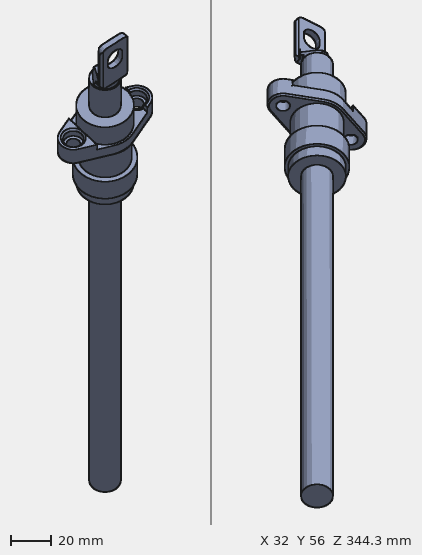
import cadquery as cq
import math

TOTAL_HEIGHT = 344.3
RING_BOTTOM = 229.5
SLEEVE_BOTTOM = 236.2
SLEEVE_TOP = 249.3
FLANGE_BOTTOM = 268.2
FLANGE_TOP = 275.8
EAR_TOP = 279.5
COLLAR_TOP = 289.2
ROD_TOP = 310.2

ROD_DIAMETER = 16.0
RING_DIAMETER = 28.5
SLEEVE_DIAMETER = 32.0
BODY_DIAMETER = 26.5
COLLAR_DIAMETER = 28.5

FLANGE_LENGTH = 56.0
HUB_RADIUS = 15.5
EAR_OFFSET = 20.3
EAR_RADIUS = FLANGE_LENGTH / 2 - EAR_OFFSET
HOLE_DIAMETER = 7.0
COUNTERBORE_DIAMETER = 10.5
COUNTERBORE_CHAMFER = 1.0
COUNTERBORE_FLOOR = 274.8
FRONT_EAR_START = 14.0
FLANGE_CHAMFER = 0.85

LUG_THICKNESS = 3.5
LUG_WIDTH = 18.0
LUG_OUTER_X = ROD_DIAMETER / 2
LUG_INNER_X = LUG_OUTER_X - LUG_THICKNESS
LUG_BOTTOM = 314.5
LUG_TOP_RADIUS = 4.0
LUG_BOTTOM_CHAMFER = 2.0
LUG_EDGE_CHAMFER = 1.2
SLOT_WIDTH = 9.3
SLOT_HEIGHT = 12.5
SLOT_CENTER_Z = 332.2

NECK_RADIUS = 7.2
NECK_SHOULDER_Z = 312.0
BEND_Z = 321.0
NECK_CROWN = (-4.8, 314.7)
BEND_START = (0.7, 316.8)
CREASE_HALF_WIDTH = 2.5
FACET_BASE_Z = 310.5
FACET_TOP_Z = 318.5


def disc(diameter, bottom, top):
    """Cylinder on the Z axis between two heights."""
    return cq.Workplane("XY").workplane(offset=bottom).circle(diameter / 2).extrude(top - bottom)


def flange_outline(bottom, top):
    """Diamond plate: hub arc and two ear arcs joined by tangent flanks."""
    sine = (HUB_RADIUS - EAR_RADIUS) / EAR_OFFSET
    cosine = math.sqrt(1 - sine**2)
    hub_x, hub_y = HUB_RADIUS * cosine, HUB_RADIUS * sine
    ear_x, ear_y = EAR_RADIUS * cosine, EAR_OFFSET + EAR_RADIUS * sine
    return (
        cq.Workplane("XY")
        .workplane(offset=bottom)
        .moveTo(hub_x, hub_y)
        .lineTo(ear_x, ear_y)
        .threePointArc((0, FLANGE_LENGTH / 2), (-ear_x, ear_y))
        .lineTo(-hub_x, hub_y)
        .threePointArc((-HUB_RADIUS, 0), (-hub_x, -hub_y))
        .lineTo(-ear_x, -ear_y)
        .threePointArc((0, -FLANGE_LENGTH / 2), (ear_x, -ear_y))
        .lineTo(hub_x, -hub_y)
        .threePointArc((HUB_RADIUS, 0), (hub_x, hub_y))
        .close()
        .extrude(top - bottom)
    )


def make_flange():
    """Flange with a raised pad on each ear and counterbored holes."""
    flange = flange_outline(FLANGE_BOTTOM, EAR_TOP).faces("<Z").chamfer(FLANGE_CHAMFER)
    lowered_length = FRONT_EAR_START + EAR_OFFSET
    lowered = (
        cq.Workplane("XY")
        .workplane(offset=FLANGE_TOP)
        .center(0, (EAR_OFFSET - FRONT_EAR_START) / 2)
        .rect(2 * SLEEVE_DIAMETER, lowered_length)
        .extrude(EAR_TOP - FLANGE_TOP)
    )
    flange = flange.cut(lowered)
    for side in (-1, 1):
        center = (0, side * EAR_OFFSET)
        hole = disc(HOLE_DIAMETER, FLANGE_BOTTOM, EAR_TOP).translate(center)
        counterbore = disc(COUNTERBORE_DIAMETER, COUNTERBORE_FLOOR, EAR_TOP).translate(center)
        lip = (
            cq.Workplane("XY")
            .workplane(offset=EAR_TOP)
            .center(*center)
            .circle(COUNTERBORE_DIAMETER / 2 + COUNTERBORE_CHAMFER)
            .extrude(-COUNTERBORE_CHAMFER, taper=45)
        )
        flange = flange.cut(hole).cut(counterbore).cut(lip)
    return flange


def make_lug():
    """Upright slotted blade with rounded top corners."""
    height = TOTAL_HEIGHT - LUG_BOTTOM
    blade = (
        cq.Workplane("XY")
        .box(LUG_THICKNESS, LUG_WIDTH, height, centered=(False, True, False))
        .translate((LUG_INNER_X, 0, LUG_BOTTOM))
    )
    blade = blade.edges("|Z").chamfer(LUG_EDGE_CHAMFER)
    rounded = (
        cq.Workplane("YZ")
        .rect(LUG_WIDTH, height)
        .extrude(LUG_THICKNESS)
        .edges("|X and >Z")
        .fillet(LUG_TOP_RADIUS)
        .edges("|X and <Z")
        .chamfer(LUG_BOTTOM_CHAMFER)
        .translate((LUG_INNER_X, 0, LUG_BOTTOM + height / 2))
    )
    slot = (
        cq.Workplane("YZ")
        .center(0, SLOT_CENTER_Z)
        .slot2D(SLOT_HEIGHT, SLOT_WIDTH, 90)
        .extrude(ROD_DIAMETER)
    )
    return blade.intersect(rounded).cut(slot)


def make_neck():
    """Round stub sloping up to the lug, with a slanted facet on each side."""
    bend_width = LUG_WIDTH - 2 * LUG_EDGE_CHAMFER
    profile = (
        cq.Workplane("XZ", origin=(0, bend_width / 2, 0))
        .moveTo(-NECK_RADIUS, ROD_TOP)
        .lineTo(-NECK_RADIUS, NECK_SHOULDER_Z)
        .spline(
            [NECK_CROWN, BEND_START, (LUG_INNER_X, BEND_Z)],
            tangents=[(0, 1), (0, 1)],
            includeCurrent=True,
        )
        .lineTo(NECK_RADIUS, BEND_Z)
        .lineTo(NECK_RADIUS, ROD_TOP)
        .close()
        .extrude(bend_width)
    )
    footprint = disc(2 * NECK_RADIUS, ROD_TOP, BEND_Z)
    bend_block = (
        cq.Workplane("XY")
        .box(LUG_INNER_X, bend_width, BEND_Z - LUG_BOTTOM, centered=(False, True, False))
        .translate((0, 0, LUG_BOTTOM))
    )
    neck = profile.intersect(footprint.union(bend_block))
    crown_x, crown_z = NECK_CROWN
    for side in (-1, 1):
        crease_foot = cq.Vector(crown_x, side * CREASE_HALF_WIDTH, crown_z)
        crease_top = cq.Vector(LUG_INNER_X, side * bend_width / 2, FACET_TOP_Z)
        side_foot = cq.Vector(0, side * NECK_RADIUS, FACET_BASE_Z)
        along = crease_top - crease_foot
        normal = along.cross(side_foot - crease_foot) * side
        plane = cq.Plane(origin=crease_foot, xDir=along, normal=normal)
        waste = cq.Workplane(plane).rect(4 * LUG_WIDTH, 4 * LUG_WIDTH).extrude(LUG_WIDTH)
        neck = neck.cut(waste)
    return neck


result = (
    disc(ROD_DIAMETER, 0, ROD_TOP)
    .union(disc(RING_DIAMETER, RING_BOTTOM, SLEEVE_BOTTOM))
    .union(disc(SLEEVE_DIAMETER, SLEEVE_BOTTOM, SLEEVE_TOP))
    .union(disc(BODY_DIAMETER, SLEEVE_TOP, FLANGE_BOTTOM))
    .union(make_flange())
    .union(disc(COLLAR_DIAMETER, FLANGE_BOTTOM, COLLAR_TOP))
    .union(make_neck())
    .union(make_lug())
)